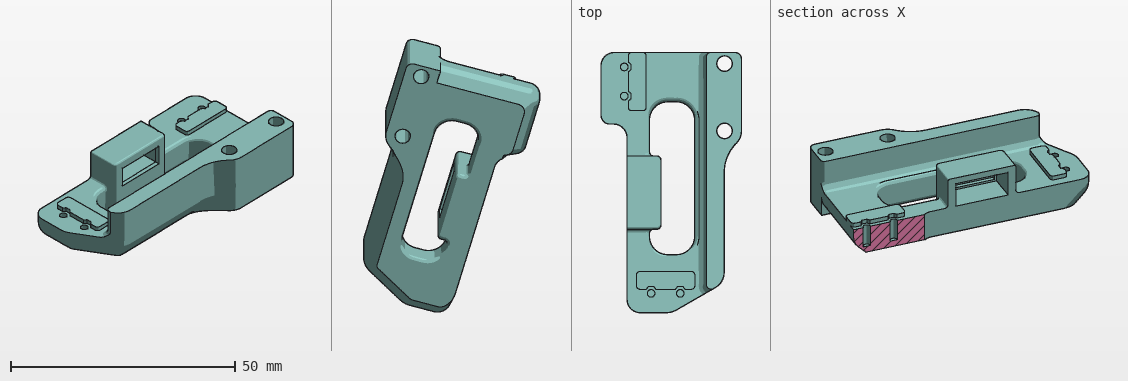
import cadquery as cq
import math

TOTAL_WIDTH = 31.35
TOTAL_LENGTH = 58.05
TOTAL_HEIGHT = 14.0
BASE_HEIGHT = 6.65

BODY_LEFT = 5.8
BODY_RIGHT = 27.5
ARM_FRONT = 42.05
ARM_INNER_RADIUS = 3.0
ARM_OUTER_RADIUS = 2.0
ARM_CORNER_RUNOUT_LENGTH = 1.9
ARM_CORNER_RUNOUT_HEIGHT = 3.0
BODY_CORNER_RADIUS = 3.0
SLANT_ANGLE = 30.0
SLANT_START_X = 15.77
SLANT_FRONT_RADIUS = 5.0
SLANT_RIGHT_RADIUS = 4.0
LUG_CORNER_RADIUS = 1.5
EDGE_CHAMFER = 3.0
EDGE_ROUND = 4.0

SCREW_DIAMETER = 3.4
SCREW_X = 27.55
SCREW_FRONT_Y = 40.55
SCREW_SPACING = 15.0

WALL_LEFT = 23.5
WALL_FRONT = 5.3
WALL_CORNER_RADIUS = 1.0
WALL_FOOT_RADIUS = 2.0

SLOT_CENTER = (15.85, 30.0)
SLOT_WIDTH = 10.0
SLOT_LENGTH = 34.0
SLOT_CORNER_RADIUS = 4.0
SLOT_RIM_RADIUS = 1.0

BLOCK_DEPTH = 7.6
BLOCK_FRONT = 18.6
BLOCK_WIDTH = 16.4
BLOCK_CORNER_RADIUS = 1.0
BLOCK_TOP_RADIUS = 0.5
BLOCK_FOOT_RADIUS = 0.85
POCKET_WIDTH = 12.6
POCKET_HEIGHT = 5.85
POCKET_END_WALL = 1.0
WINDOW_LIP = 0.5

PAD_LENGTH = 13.0
PAD_WIDTH = 4.0
PAD_HEIGHT = 1.0
PAD_CORNER_RADIUS = 0.8
PIN_DIAMETER = 1.7
PIN_SPACING = 6.5
PIN_DEPTH = 5.0
PIN_TO_PAD = 0.9
NOTCH_DEPTH = 0.6
NOTCH_MOUTH = 2.2
NOTCH_FLOOR = 1.2
FRONT_PAD_CENTER = (14.43, 7.25)
ARM_PAD_CENTER = (8.1, TOTAL_LENGTH - PAD_LENGTH / 2)

LUG_TURN = math.radians(45)
LUG_RADIUS = TOTAL_WIDTH - SCREW_X
LUG_SEAM = (
    SCREW_X + LUG_RADIUS * math.cos(LUG_TURN),
    SCREW_FRONT_Y - LUG_RADIUS * math.sin(LUG_TURN),
)
NECK_RADIUS = (LUG_SEAM[0] - BODY_RIGHT) / (1 - math.cos(LUG_TURN))
NECK_START_Y = LUG_SEAM[1] - NECK_RADIUS * math.sin(LUG_TURN)
NECK_MIDDLE = (
    BODY_RIGHT + NECK_RADIUS * (1 - math.cos(LUG_TURN / 2)),
    NECK_START_Y + NECK_RADIUS * math.sin(LUG_TURN / 2),
)
LUG_MIDDLE = (
    SCREW_X + LUG_RADIUS * math.cos(LUG_TURN / 2),
    SCREW_FRONT_Y - LUG_RADIUS * math.sin(LUG_TURN / 2),
)

SLANT_END_Y = (BODY_RIGHT - SLANT_START_X) * math.tan(math.radians(SLANT_ANGLE))

SLANT_CORNERS = (
    (SLANT_START_X, 0, SLANT_FRONT_RADIUS),
    (BODY_RIGHT, SLANT_END_Y, SLANT_RIGHT_RADIUS),
)

SLOT_X = (SLOT_CENTER[0] - SLOT_WIDTH / 2, SLOT_CENTER[0] + SLOT_WIDTH / 2)
SLOT_Y = (SLOT_CENTER[1] - SLOT_LENGTH / 2, SLOT_CENTER[1] + SLOT_LENGTH / 2)

PIN_X = (-PIN_SPACING / 2, PIN_SPACING / 2)
PIN_Y = -PAD_WIDTH / 2 - PIN_TO_PAD

FAR = TOTAL_WIDTH + 5
NEAR = 0.05


def box(x, y, z):
    """Box between the given (low, high) limits along each axis."""
    solid = cq.Workplane("XY").box(x[1] - x[0], y[1] - y[0], z[1] - z[0], centered=False)
    return solid.translate((x[0], y[0], z[0]))


def cylinder(center, radius, height):
    """Upright cylinder from the bottom plane; a negative height runs downwards."""
    return cq.Workplane("XY").center(*center).circle(radius).extrude(height)


def edges_inside(solid, x, y, z):
    """Edges lying entirely within the given (low, high) limits."""
    low = (x[0] - NEAR, y[0] - NEAR, z[0] - NEAR)
    high = (x[1] + NEAR, y[1] + NEAR, z[1] + NEAR)
    return solid.edges(cq.selectors.BoxSelector(low, high, boundingbox=True))


def round_upright_edges(solid, corners):
    """Round the upright edges at the given (x, y, radius) corners."""
    for x, y, radius in corners:
        solid = edges_inside(solid, (x, x), (y, y), (0, TOTAL_HEIGHT)).fillet(radius)
    return solid


def outline_up_to_neck():
    """Open outline from the back left corner round the front to the start of the neck."""
    return (
        cq.Workplane("XY")
        .moveTo(0, TOTAL_LENGTH)
        .lineTo(0, ARM_FRONT)
        .lineTo(BODY_LEFT, ARM_FRONT)
        .lineTo(BODY_LEFT, 0)
        .lineTo(SLANT_START_X, 0)
        .lineTo(BODY_RIGHT, SLANT_END_Y)
        .lineTo(BODY_RIGHT, NECK_START_Y)
    )


def full_height_outline():
    """Prism over the whole outline; it limits the wall."""
    prism = (
        outline_up_to_neck()
        .threePointArc(NECK_MIDDLE, LUG_SEAM)
        .threePointArc(LUG_MIDDLE, (TOTAL_WIDTH, SCREW_FRONT_Y))
        .lineTo(TOTAL_WIDTH, TOTAL_LENGTH)
        .close()
        .extrude(TOTAL_HEIGHT)
    )
    prism = round_upright_edges(prism, SLANT_CORNERS)
    return round_upright_edges(prism, ((TOTAL_WIDTH, TOTAL_LENGTH, LUG_CORNER_RADIUS),))


def base_with_lug():
    """Base plate with the lug; its bottom edges are chamfered and rounded except at the lug."""
    base = outline_up_to_neck().lineTo(BODY_RIGHT, TOTAL_LENGTH).close().extrude(BASE_HEIGHT)
    base = round_upright_edges(base, SLANT_CORNERS)

    def is_plain(edge):
        """The long left side and the arm front keep a sharp bottom edge."""
        size = edge.BoundingBox()
        along_y = size.xlen < NEAR and abs(size.xmin - BODY_LEFT) < NEAR
        along_x = size.ylen < NEAR and abs(size.ymin - ARM_FRONT) < NEAR
        return along_y or along_x

    bottom_edges = [edge for edge in base.edges("<Z").vals() if not is_plain(edge)]
    base = base.newObject(bottom_edges).chamfer(EDGE_CHAMFER)
    ridge = edges_inside(base, (0, FAR), (0, TOTAL_LENGTH), (EDGE_CHAMFER, EDGE_CHAMFER))
    base = add_lug(ridge.fillet(EDGE_ROUND))

    full = (0, BASE_HEIGHT)
    reach = EDGE_CHAMFER
    arm_back = edges_inside(base, (0, reach), (TOTAL_LENGTH - reach, TOTAL_LENGTH), full)
    base = arm_back.fillet(BODY_CORNER_RADIUS)
    body_front = edges_inside(base, (BODY_LEFT, BODY_LEFT), (0, reach), full)
    base = body_front.fillet(BODY_CORNER_RADIUS)
    arm_front = edges_inside(base, (0, reach), (ARM_FRONT, ARM_FRONT), full)
    return arm_front.fillet(ARM_OUTER_RADIUS)


def arm_inner_corner():
    """Concave corner between arm and body; its lower end slopes off into the arm chamfer."""
    left = BODY_LEFT - ARM_INNER_RADIUS
    front = ARM_FRONT - ARM_INNER_RADIUS
    overlap = 1.0
    solid = (
        cq.Workplane("XZ", origin=(0, front, 0))
        .moveTo(left, BASE_HEIGHT)
        .lineTo(BODY_LEFT, BASE_HEIGHT)
        .lineTo(BODY_LEFT, 0)
        .lineTo(left + ARM_CORNER_RUNOUT_LENGTH, 0)
        .lineTo(left, ARM_CORNER_RUNOUT_HEIGHT)
        .close()
        .extrude(-ARM_INNER_RADIUS - overlap)
    )
    return solid.cut(cylinder((left, front), ARM_INNER_RADIUS, BASE_HEIGHT))


def add_lug(base):
    """Add the screw lug, sharp at the bottom, and blend it into the body side."""
    left = SCREW_X - LUG_RADIUS
    front = cylinder((SCREW_X, SCREW_FRONT_Y), LUG_RADIUS, BASE_HEIGHT)
    back = box((left, TOTAL_WIDTH), (SCREW_FRONT_Y, TOTAL_LENGTH), (0, BASE_HEIGHT))
    back = round_upright_edges(back, ((TOTAL_WIDTH, TOTAL_LENGTH, LUG_CORNER_RADIUS),))
    solid = base.union(front.union(back))
    neck_y = (SCREW_FRONT_Y - LUG_RADIUS, SCREW_FRONT_Y)
    neck = edges_inside(solid, (left, BODY_RIGHT), neck_y, (0, BASE_HEIGHT))
    upright = [edge for edge in neck.vals() if edge.BoundingBox().zlen > NEAR]
    return solid.newObject(upright).fillet(NECK_RADIUS)


def slot_prism(growth, z):
    """Prism of the slot outline, grown outwards by the given amount."""
    half_width = SLOT_WIDTH / 2 + growth
    half_length = SLOT_LENGTH / 2 + growth
    prism = box((-half_width, half_width), (-half_length, half_length), z)
    prism = prism.edges("|Z").fillet(SLOT_CORNER_RADIUS + growth)
    return prism.translate((SLOT_CENTER[0], SLOT_CENTER[1], 0))


def cut_slot(base):
    """Cut the through slot and round its upper rim; the lower rim is rounded with the block."""
    base = base.cut(slot_prism(0, (0, BASE_HEIGHT)))
    return edges_inside(base, SLOT_X, SLOT_Y, (BASE_HEIGHT, BASE_HEIGHT)).fillet(SLOT_RIM_RADIUS)


def wall():
    """Upright wall with a concave foot, standing on the base and clear of the slot rim."""
    margin = 2 * WALL_FOOT_RADIUS
    floor_y = (WALL_FRONT - margin, TOTAL_LENGTH + margin)
    floor = box((WALL_LEFT - margin, FAR), floor_y, (0, BASE_HEIGHT))
    upright = box((WALL_LEFT, FAR), (WALL_FRONT, TOTAL_LENGTH), (0, TOTAL_HEIGHT))
    upright = round_upright_edges(
        upright,
        (
            (WALL_LEFT, WALL_FRONT, WALL_CORNER_RADIUS),
            (WALL_LEFT, TOTAL_LENGTH, WALL_CORNER_RADIUS),
        ),
    )
    solid = floor.union(upright)
    foot = edges_inside(
        solid, (WALL_LEFT, WALL_LEFT), (WALL_FRONT, TOTAL_LENGTH), (BASE_HEIGHT, BASE_HEIGHT)
    )
    solid = foot.fillet(WALL_FOOT_RADIUS)
    return solid.cut(floor).cut(slot_prism(SLOT_RIM_RADIUS, (BASE_HEIGHT, TOTAL_HEIGHT)))


def add_block(base):
    """Add the block beside the slot, with a rounded foot, a windowed pocket and the lower slot rim."""
    right = BODY_LEFT + BLOCK_DEPTH
    back = BLOCK_FRONT + BLOCK_WIDTH
    body = box((BODY_LEFT, right), (BLOCK_FRONT, back), (0, TOTAL_HEIGHT))
    body = body.edges("|Z and >X").fillet(BLOCK_CORNER_RADIUS)
    body = body.faces(">Z").edges("not <X").fillet(BLOCK_TOP_RADIUS)
    solid = base.union(body)
    for y in (BLOCK_FRONT, back):
        foot = edges_inside(solid, (BODY_LEFT, SLOT_X[0]), (y, y), (0, BASE_HEIGHT))
        solid = foot.fillet(BLOCK_FOOT_RADIUS)
    solid = edges_inside(solid, SLOT_X, SLOT_Y, (0, 0)).fillet(SLOT_RIM_RADIUS)

    middle = BLOCK_FRONT + BLOCK_WIDTH / 2
    pocket_y = (middle - POCKET_WIDTH / 2, middle + POCKET_WIDTH / 2)
    pocket_top = BASE_HEIGHT + POCKET_HEIGHT
    pocket = box((BODY_LEFT, right - POCKET_END_WALL), pocket_y, (BASE_HEIGHT, pocket_top))
    window_y = (pocket_y[0] + WINDOW_LIP, pocket_y[1] - WINDOW_LIP)
    window = box((BODY_LEFT, right), window_y, (BASE_HEIGHT + WINDOW_LIP, pocket_top - WINDOW_LIP))
    return solid.cut(pocket).cut(window)


def pad():
    """Raised pad along X, centred on the origin, with a notch beside each pin hole in front."""
    solid = box((-PAD_LENGTH / 2, PAD_LENGTH / 2), (-PAD_WIDTH / 2, PAD_WIDTH / 2), (0, PAD_HEIGHT))
    solid = solid.edges("|Z").fillet(PAD_CORNER_RADIUS)
    side = -PAD_WIDTH / 2
    for pin_x in PIN_X:
        notch = (
            cq.Workplane("XY")
            .moveTo(pin_x - NOTCH_MOUTH / 2, side)
            .lineTo(pin_x + NOTCH_MOUTH / 2, side)
            .lineTo(pin_x + NOTCH_FLOOR / 2, side + NOTCH_DEPTH)
            .lineTo(pin_x - NOTCH_FLOOR / 2, side + NOTCH_DEPTH)
            .close()
            .extrude(PAD_HEIGHT)
        )
        solid = solid.cut(notch)
    return solid


def pin_holes():
    """The two blind pin holes in front of a pad, running down from the origin plane."""
    left, right = [cylinder((pin_x, PIN_Y), PIN_DIAMETER / 2, -PIN_DEPTH) for pin_x in PIN_X]
    return left.union(right)


def placed_on_base(solid, center, turn):
    """Turn a solid about Z and move it onto the base top."""
    solid = solid.rotate((0, 0, 0), (0, 0, 1), turn)
    return solid.translate((center[0], center[1], BASE_HEIGHT))


def screw_holes():
    """Through holes in the lug and the wall above it."""
    front = cylinder((SCREW_X, SCREW_FRONT_Y), SCREW_DIAMETER / 2, TOTAL_HEIGHT)
    return front.union(front.translate((0, SCREW_SPACING, 0)))


result = cut_slot(base_with_lug().union(arm_inner_corner()))
result = result.union(wall().intersect(full_height_outline()))
result = add_block(result)
for pad_center, pad_turn in ((FRONT_PAD_CENTER, 0), (ARM_PAD_CENTER, -90)):
    result = result.union(placed_on_base(pad(), pad_center, pad_turn))
    result = result.cut(placed_on_base(pin_holes(), pad_center, pad_turn))
result = result.cut(screw_holes())